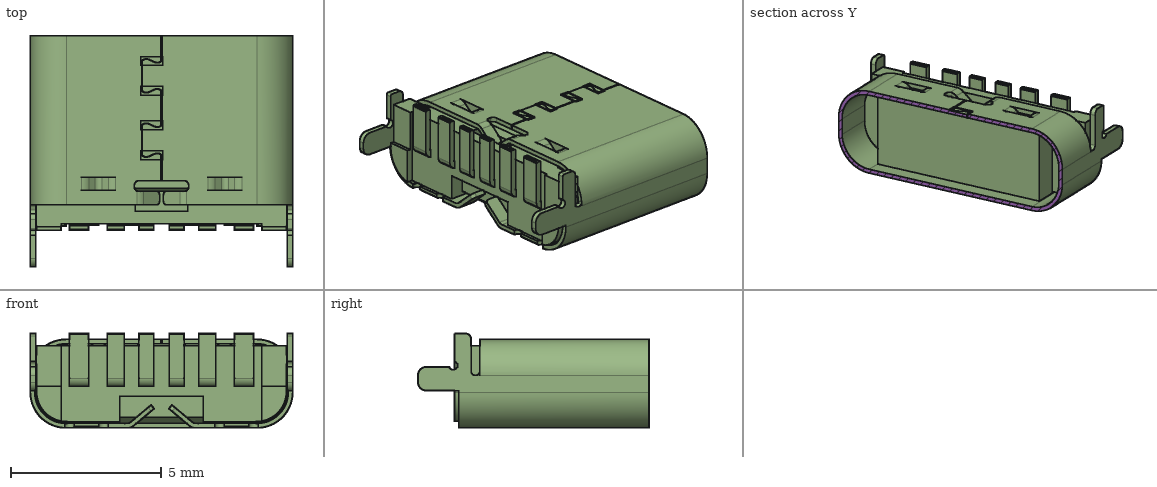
import cadquery as cq
import math

width = 8.74
shell_height = 2.95
corner_radius = 1.2
wall = 0.16
top_length = 5.64
bottom_length = 6.345
side_flat_top = shell_height - corner_radius

seam_gap = 0.04
interlock_gap = 0.01
interlock_offset = 0.65
interlock_centers = (1.35, 3.49)
interlock_half_pitch = 0.5
s_curve_rise = 0.12
coin_length = 0.74
coin_width = 0.3
coin_depth = 0.03

bend_angle = math.radians(40.0)
bend_radius = 0.36
flap_corner = 0.13
slot_width = 0.35
slot_corner = 0.14
slot_overhang = 0.07
top_hinge = 0.83
top_flap_length = 0.7
top_flap_width = 0.455
bottom_hinge = 1.145
bottom_flap_length = 0.87
bottom_flap_width = 0.62

dent_spacing = 4.2
dent_width = 0.44
dent_rear = 4.71
dent_slope = 0.21
dent_shoulder_radius = 0.385
dent_root_radius = 0.175
dent_backing = 0.48

floor_front = 6.31
strip_chamfer = 0.05
relief_centers = (1.93, 3.07)
relief_width = 0.315
relief_depth = 0.17

total_height = 3.15
total_length = 7.7
leg_thickness = 0.19
tab_rear = 5.93
tab_front = 6.485
prong_bottom = 1.24
prong_top = 2.04
prong_corner = 0.29
tab_front_corner = 0.07
tab_rear_corner = 0.18
notch_corner = 0.13
leg_relief_radius = 0.14
leg_relief_offset = (-0.035, 0.04)

housing_gap = 0.05
housing_front = 6.27
core_half_width = 3.15
core_rear = 4.37
core_step_height = 1.22
top_chamfer_run = 0.105
top_chamfer_rise = 0.23
bottom_chamfer_run = 0.39
bottom_chamfer_rise = 0.19
top_core_front = top_length - top_flap_width
bottom_core_front = 5.795
top_pocket_half_width = 0.865
top_pocket_front = 5.85
top_pocket_depth = 0.83
bottom_pocket_half_width = 1.39
bottom_pocket_top = 1.06
post_inner = 3.34
post_step = 1.38
upper_post_front = 6.36
lower_post_front = tab_front

contacts = ((0.51, 0.5), (1.52, 0.58), (2.74, 0.64))
contact_thickness = 0.19
contact_bottom = 1.38
contact_bend_radius = 0.27
contact_chamfer = 0.035
contact_root = 0.26


def box(x0, x1, y0, y1, z0, z1):
    """Box between two corners."""
    return cq.Workplane("XY").box(x1 - x0, y1 - y0, z1 - z0, centered=False).translate((x0, y0, z0))


def rounded_bar(inset, rear, front):
    """Bar with the outline of the shell moved inwards by inset, between two depths."""
    return (
        cq.Workplane("XZ", origin=(0, -rear, shell_height / 2))
        .rect(width - 2 * inset, shell_height - 2 * inset)
        .extrude(front - rear)
        .edges("|Y")
        .fillet(corner_radius - inset)
    )


def both_sides(shape):
    """The shape together with its mirror image in the YZ plane."""
    return shape.union(shape.mirror("YZ"))


def shell_tube():
    """Hollow tube whose roof ends short of its floor, with the middle of the floor edge set back."""
    tube = rounded_bar(0, 0, bottom_length).cut(rounded_bar(wall, 0, bottom_length))
    tube = tube.cut(box(-width, width, -bottom_length, -top_length, side_flat_top, total_height))
    reach = max(relief_centers)
    return tube.cut(box(-reach, reach, -bottom_length, -floor_front, 0, wall))


def leg():
    """Left leg, a flat plate in line with the side wall of the shell."""
    outline = [
        (-top_length, prong_bottom),
        (-total_length, prong_bottom),
        (-total_length, prong_top),
        (-tab_front, prong_top),
        (-tab_front, total_height),
        (-tab_rear, total_height),
        (-tab_rear, side_flat_top),
        (-top_length - notch_corner, side_flat_top),
    ]
    arc_inset = notch_corner * (1 - math.sqrt(0.5))
    plate = (
        cq.Workplane("YZ", origin=(-width / 2, 0, 0))
        .polyline(outline)
        .threePointArc(
            (-top_length - arc_inset, side_flat_top + arc_inset),
            (-top_length, side_flat_top + notch_corner),
        )
        .close()
        .extrude(leg_thickness)
    )
    plate = plate.edges("|X").edges("<Y").fillet(prong_corner)
    plate = plate.edges("|X").edges(">Z").edges("<Y").fillet(tab_front_corner)
    plate = plate.edges("|X").edges(">Z").edges(">Y").fillet(tab_rear_corner)
    notch_point = (-width / 2 + leg_thickness / 2, -tab_rear, side_flat_top)
    at_notch = cq.selectors.NearestToPointSelector(notch_point)
    plate = plate.edges("|X").edges(at_notch).fillet(notch_corner)
    relief = (
        cq.Workplane("YZ", origin=(-width / 2, -tab_front, prong_top))
        .center(*leg_relief_offset)
        .circle(leg_relief_radius)
        .extrude(leg_thickness)
    )
    return plate.cut(relief)


def flap_pair(hinge, length, flap_width, front):
    """Two flaps bent up from the floor towards the middle; front is the depth of their front edge."""
    rear = flap_width - front
    inner_radius = bend_radius - wall

    def on_bend(radius, angle):
        return (radius * math.sin(angle) - hinge, bend_radius - radius * math.cos(angle))

    bend = (
        cq.Workplane("XZ", origin=(0, rear, 0))
        .moveTo(*on_bend(bend_radius, 0))
        .threePointArc(on_bend(bend_radius, bend_angle / 2), on_bend(bend_radius, bend_angle))
        .lineTo(*on_bend(inner_radius, bend_angle))
        .threePointArc(on_bend(inner_radius, bend_angle / 2), on_bend(inner_radius, 0))
        .close()
        .extrude(flap_width)
    )
    bend_end_x, bend_end_z = on_bend(bend_radius, bend_angle)
    blade = (
        box(0, length, -front, rear, 0, wall)
        .edges("|Z and >X")
        .fillet(flap_corner)
        .rotate((0, 0, 0), (0, 1, 0), -math.degrees(bend_angle))
        .translate((bend_end_x, 0, bend_end_z))
    )
    return both_sides(bend.union(blade))


def flap_opening(hinge, flap_width, front):
    """Opening in the floor for a pair of flaps, with the slot behind them."""
    flap_rear = flap_width - front
    gap = box(-hinge, hinge, -front, flap_rear, 0, wall)
    reach = hinge + slot_overhang
    slot = box(-reach, reach, flap_rear, flap_rear + slot_width, 0, wall).edges("|Z").fillet(slot_corner)
    return gap.union(slot)


def to_roof(shape):
    """Turns a shape made for the floor over to the roof."""
    return shape.mirror("XY", (0, 0, shell_height / 2))


def s_curve(center_y, gap, direction):
    """S-shaped cut across the roof between the two lines of the seam."""
    steps = 4
    points = []
    for i in range(steps + 1):
        across = i / steps
        rise = direction * s_curve_rise * math.sin(2 * math.pi * across) / 2
        points.append((-interlock_offset * across, center_y - rise))
    back = [(x, y + gap) for x, y in reversed(points)]
    return (
        cq.Workplane("XY", origin=(0, 0, shell_height - wall))
        .spline(points)
        .lineTo(*back[0])
        .spline(back, includeCurrent=False)
        .close()
        .extrude(wall)
    )


def seam():
    """Seam through the roof and the shallow coined rectangles over its S-curves."""
    roof = (shell_height - wall, shell_height)
    half = seam_gap / 2
    cuts = []
    start = 0
    for center in interlock_centers:
        rear = center - interlock_half_pitch
        front = center + interlock_half_pitch
        cuts.append(box(-half, half, -rear, -start, *roof))
        side = -interlock_offset
        cuts.append(box(side - interlock_gap, side, -front, -rear, *roof))
        for y, direction in ((rear, 1), (front, -1)):
            cuts.append(s_curve(-y, interlock_gap, direction))
            middle = -interlock_offset / 2
            cuts.append(
                box(
                    middle - coin_length / 2,
                    middle + coin_length / 2,
                    -y - coin_width / 2,
                    -y + coin_width / 2,
                    shell_height - coin_depth,
                    shell_height,
                )
            )
        start = front
    cuts.append(box(-half, half, -top_length, -start, *roof))
    return cuts


def arc_run(radius, angle):
    """Horizontal extent of an arc that starts level and turns by angle."""
    return radius * math.sin(angle)


def arc_drop(radius, angle):
    """Vertical extent of an arc that starts level and turns by angle."""
    return radius * (1 - math.cos(angle))


shoulder_run = arc_run(dent_shoulder_radius, bend_angle)
shoulder_drop = arc_drop(dent_shoulder_radius, bend_angle)
root_run = arc_run(dent_root_radius, bend_angle)
root_drop = arc_drop(dent_root_radius, bend_angle)
dent_half_length = shoulder_run + dent_slope + root_run
dent_depth = shoulder_drop + dent_slope * math.tan(bend_angle) + root_drop


def dent(center_x):
    """Void of a V-shaped dent with rounded shoulders and a rounded root."""
    shoulder_mid_x = dent_half_length - arc_run(dent_shoulder_radius, bend_angle / 2)
    shoulder_mid_z = -arc_drop(dent_shoulder_radius, bend_angle / 2)
    slope_top_x = dent_half_length - shoulder_run
    root_top_z = root_drop - dent_depth
    profile = (
        cq.Workplane("XZ", origin=(center_x, -dent_rear, shell_height))
        .moveTo(-dent_half_length, 0)
        .threePointArc((-shoulder_mid_x, shoulder_mid_z), (-slope_top_x, -shoulder_drop))
        .lineTo(-root_run, root_top_z)
        .threePointArc((0, -dent_depth), (root_run, root_top_z))
        .lineTo(slope_top_x, -shoulder_drop)
        .threePointArc((shoulder_mid_x, shoulder_mid_z), (dent_half_length, 0))
        .close()
    )
    return profile.extrude(dent_width)


def dent_block(center_x):
    """Solid that carries a dent, down from the roof surface."""
    return box(
        center_x - dent_half_length,
        center_x + dent_half_length,
        -dent_rear - dent_width,
        -dent_rear,
        shell_height - dent_backing,
        shell_height,
    )


def relief_slot(center_x):
    """Round-ended slot in the front edge of the floor."""
    radius = relief_width / 2
    return (
        cq.Workplane("XY", origin=(center_x, -floor_front, 0))
        .moveTo(-radius, floor_front - bottom_length)
        .lineTo(-radius, relief_depth - radius)
        .threePointArc((0, relief_depth), (radius, relief_depth - radius))
        .lineTo(radius, floor_front - bottom_length)
        .close()
        .extrude(wall)
    )


def strip_edge(inner, outer):
    """Wedge that chamfers the lower front edge of the floor between two relief slots."""
    return (
        cq.Workplane("YZ", origin=(inner, -floor_front, 0))
        .polyline([(0, 0), (strip_chamfer, 0), (0, strip_chamfer)])
        .close()
        .extrude(outer - inner)
    )


def housing_core():
    """Block wedged between the floor and the roof of the shell, chamfered at its front edges."""
    bottom = wall
    top = shell_height - wall
    outline = [
        (-core_rear, bottom),
        (bottom_chamfer_run - bottom_core_front, bottom),
        (-bottom_core_front, bottom + bottom_chamfer_rise),
        (-bottom_core_front, core_step_height),
        (-top_core_front, core_step_height),
        (-top_core_front, top - top_chamfer_rise),
        (top_chamfer_run - top_core_front, top),
        (-core_rear, top),
    ]
    return (
        cq.Workplane("YZ", origin=(-core_half_width, 0, 0))
        .polyline(outline)
        .close()
        .extrude(2 * core_half_width)
    )


def housing_head():
    """Front of the housing: square at the top, round at the bottom, with posts and pockets."""
    inset = wall + housing_gap
    half_width = width / 2 - inset
    top = shell_height - inset
    middle = shell_height / 2

    head = rounded_bar(inset, top_core_front, lower_post_front)
    head = head.union(box(-half_width, half_width, -lower_post_front, -top_length, middle, top))
    head = head.cut(box(-post_inner, post_inner, -lower_post_front, -housing_front, 0, top))
    head = head.cut(box(-half_width, half_width, -lower_post_front, -upper_post_front, post_step, top))
    top_pocket = box(
        -top_pocket_half_width,
        top_pocket_half_width,
        -top_pocket_front,
        -top_core_front,
        top - top_pocket_depth,
        top,
    )
    bottom_pocket = box(
        -bottom_pocket_half_width,
        bottom_pocket_half_width,
        -housing_front,
        bottom_chamfer_run - bottom_core_front,
        0,
        bottom_pocket_top,
    )
    return head.cut(top_pocket).cut(bottom_pocket)


def contact(center_x, contact_width):
    """Upright strip with a bend at its lower end that runs into the housing."""
    back = contact_thickness - lower_post_front
    bar = box(
        center_x - contact_width / 2,
        center_x + contact_width / 2,
        -lower_post_front,
        back + contact_root,
        contact_bottom,
        total_height,
    )
    bar = bar.edges("|X and <Y and <Z").fillet(contact_bend_radius)
    root_top = contact_bottom + contact_bend_radius
    behind = box(-width, width, back, back + contact_root, root_top, total_height)
    return bar.cut(behind).edges("|X and >Z").chamfer(contact_chamfer)


shell = shell_tube()
for cut in seam():
    shell = shell.cut(cut)
for center in relief_centers:
    shell = shell.cut(both_sides(relief_slot(center)))
shell = shell.cut(both_sides(strip_edge(*relief_centers)))
shell = shell.cut(to_roof(flap_opening(top_hinge, top_flap_width, top_length)))
shell = shell.cut(flap_opening(bottom_hinge, bottom_flap_width, floor_front))
shell = shell.union(both_sides(leg()))

housing = housing_head().union(housing_core())
for distance, contact_width in contacts:
    housing = housing.union(both_sides(contact(distance, contact_width)))

result = shell.union(housing)
for side in (-1, 1):
    center = side * dent_spacing / 2
    result = result.union(dent_block(center)).cut(dent(center))
result = result.union(to_roof(flap_pair(top_hinge, top_flap_length, top_flap_width, top_length)))
result = result.union(flap_pair(bottom_hinge, bottom_flap_length, bottom_flap_width, floor_front))